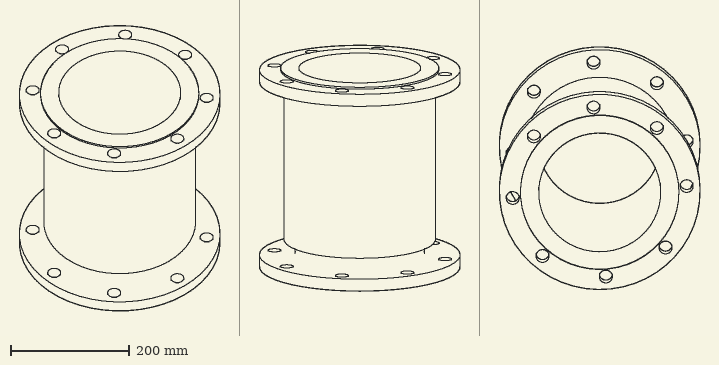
import cadquery as cq

total_height = 350.0
bore_diameter = 206.5

flange_diameter = 340.0
flange_thickness = 24.0
face_diameter = 268.0
face_height = 3.0

bolt_count = 8
bolt_circle_diameter = 295.0
bolt_hole_diameter = 22.0
bolt_start_angle = 180 / bolt_count

neck_diameter = 219.0
body_diameter = 257.2
body_end_height = 49.7
edge_fillet = 2.5


def cylinder(diameter, bottom, top):
    """Solid cylinder on the Z axis between two heights."""
    return cq.Workplane("XY").workplane(offset=bottom).circle(diameter / 2).extrude(top - bottom)


def make_flange_pair():
    """Lower flange with its raised face pointing down, and its mirror image at the top."""
    raised_face = cylinder(face_diameter, 0, face_height)
    lower_flange = raised_face.union(cylinder(flange_diameter, face_height, flange_thickness))
    upper_flange = lower_flange.mirror("XY", (0, 0, total_height / 2))
    return lower_flange, upper_flange


def make_bolt_holes():
    """Cutters running the full height, so each one drills both flanges outside the body."""
    return (
        cq.Workplane("XY")
        .polarArray(bolt_circle_diameter / 2, bolt_start_angle, 360, bolt_count)
        .circle(bolt_hole_diameter / 2)
        .extrude(total_height)
    )


lower_flange, upper_flange = make_flange_pair()
neck_pipe = cylinder(neck_diameter, flange_thickness, total_height - flange_thickness)
body = cylinder(body_diameter, body_end_height, total_height - body_end_height)
outside = neck_pipe.union(body).union(lower_flange).union(upper_flange)

neck_roots = cq.selectors.RadiusNthSelector(0)
body_end_edges = cq.selectors.RadiusNthSelector(1)
outside = outside.edges(neck_roots + body_end_edges).fillet(edge_fillet)

bore = cylinder(bore_diameter, 0, total_height)
result = outside.cut(bore).cut(make_bolt_holes())